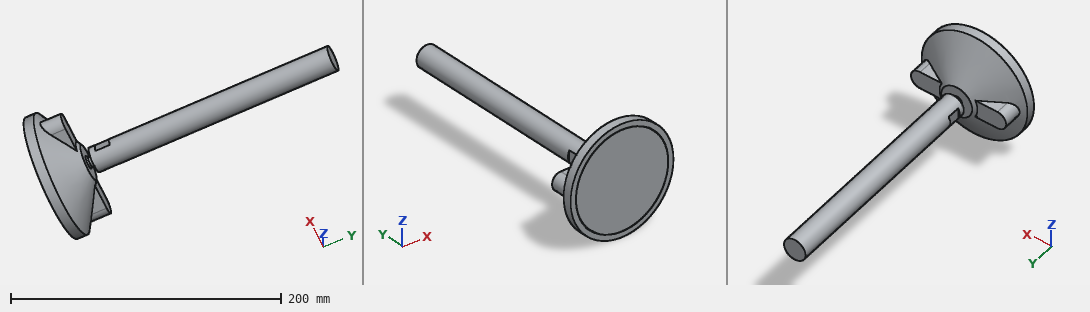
import cadquery as cq

total_length = 230.0

foot_diameter = 98.0
rim_height = 8.3
foot_height = 30.1
cone_top_diameter = 28.5

pad_diameter = 87.5
pad_recess_diameter = 88.0
pad_gap_depth = 2.3

lug_span = 88.0
lug_width = 16.5
lug_top = 28.0
lug_bottom = rim_height / 2

ball_diameter = 12.5
ball_center = 26.7
neck_diameter = 7.8
rod_diameter = 20.0
rod_start = 34.7
flats_start = 39.8
flats_length = 11.7
flats_across = 17.0


def plane_at(y):
    """Plane across the part axis, facing +Y."""
    return cq.Workplane(cq.Plane(origin=(0, y, 0), xDir=(1, 0, 0), normal=(0, 1, 0)))


def cylinder(diameter, start, end):
    return plane_at(start).circle(diameter / 2).extrude(end - start)


def make_foot():
    profile = (
        cq.Workplane("XY")
        .lineTo(foot_diameter / 2, 0)
        .lineTo(foot_diameter / 2, rim_height)
        .lineTo(cone_top_diameter / 2, foot_height)
        .lineTo(0, foot_height)
        .close()
    )
    foot = profile.revolve(360, (0, 0, 0), (0, 1, 0))
    lugs = plane_at(lug_bottom).slot2D(lug_span, lug_width).extrude(lug_top - lug_bottom)
    pad_gap = (
        plane_at(0)
        .circle(pad_recess_diameter / 2)
        .circle(pad_diameter / 2)
        .extrude(pad_gap_depth)
    )
    return foot.union(lugs).cut(pad_gap)


def make_spindle():
    rod = cylinder(rod_diameter, rod_start, total_length)
    flats = (
        plane_at(flats_start)
        .rect(2 * rod_diameter, 2 * rod_diameter)
        .rect(flats_across, 2 * rod_diameter)
        .extrude(flats_length)
    )
    neck = cylinder(neck_diameter, ball_center, rod_start)
    ball = plane_at(ball_center).sphere(ball_diameter / 2)
    return rod.cut(flats).union(neck).union(ball)


result = make_foot().union(make_spindle())